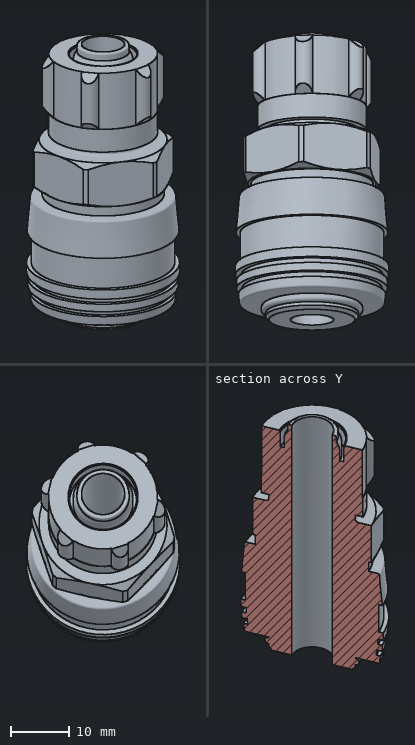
import cadquery as cq
import math

nose_bottom_z = 0.0
sleeve_bottom_z = 2.7
lower_ring_top_z = 4.5
middle_ring_bottom_z = 5.5
middle_ring_top_z = 6.9
upper_ring_bottom_z = 7.9
upper_ring_top_z = 9.6
collar_bottom_z = 15.4
collar_top_z = 22.2
hex_bottom_z = 24.1
hex_top_z = 32.2
nut_bottom_z = 33.55
rib_bottom_z = 37.75
nut_top_z = 48.1
barb_top_z = 48.45
tip_z = 49.8

upper_ring_diameter = 26.4
middle_ring_diameter = 26.0
lower_ring_diameter = 25.4
lower_ring_base_diameter = 25.0
lower_ring_round = 0.4
upper_groove_diameter = 24.4
lower_groove_top_diameter = 24.1
lower_groove_bottom_diameter = 23.8
sleeve_diameter = 24.7
collar_bottom_diameter = 26.2
collar_top_diameter = 25.0
collar_round = 0.5

nose_diameter = 16.0
nose_chamfer = 0.6
bead_radius = 0.75

lower_neck_diameter = 21.0
upper_neck_diameter = 16.0
neck_fillet = 0.6
hex_sides = 6
hex_across_flats = 22.0
hex_corner_diameter = 24.9
hex_chamfer_angle = 30.0

nut_diameter = 18.7
nut_skirt_diameter = 18.8
rib_count = 6
rib_radius = 1.5
first_rib_angle = 30.0
nut_bore_diameter = 11.6
nut_bore_chamfer = 0.2
nut_bore_depth = 3.5

bore_diameter = 7.4
tip_diameter = 9.0
tip_round = 0.3
barb_diameter = 10.3
barb_height = 1.7


def ring(diameter_bottom, z_bottom, diameter_top, z_top):
    """Solid disc or cone between two heights on the Z axis."""
    return (
        cq.Workplane("XZ")
        .moveTo(0, z_bottom)
        .lineTo(diameter_bottom / 2, z_bottom)
        .lineTo(diameter_top / 2, z_top)
        .lineTo(0, z_top)
        .close()
        .revolve(360, (0, 0, 0), (0, 1, 0))
    )


def cylinder(diameter, z_bottom, z_top):
    return ring(diameter, z_bottom, diameter, z_top)


def make_nose():
    """Seal nose with a round bead running around it."""
    nose = cylinder(nose_diameter, nose_bottom_z, sleeve_bottom_z).faces("<Z").chamfer(nose_chamfer)
    nose_radius = nose_diameter / 2
    bead = (
        cq.Workplane("XZ")
        .moveTo(0, sleeve_bottom_z - 2 * bead_radius)
        .lineTo(nose_radius, sleeve_bottom_z - 2 * bead_radius)
        .radiusArc((nose_radius, sleeve_bottom_z), -bead_radius)
        .lineTo(0, sleeve_bottom_z)
        .close()
        .revolve(360, (0, 0, 0), (0, 1, 0))
    )
    return nose.union(bead)


def make_sleeve():
    """Locking sleeve: three grip rings, a plain barrel and a tapered collar."""
    lower_ring = ring(lower_ring_base_diameter, sleeve_bottom_z, lower_ring_diameter, lower_ring_top_z)
    lower_groove = ring(
        lower_groove_bottom_diameter, lower_ring_top_z, lower_groove_top_diameter, middle_ring_bottom_z
    )
    collar = ring(collar_bottom_diameter, collar_bottom_z, collar_top_diameter, collar_top_z)
    return (
        lower_ring.faces("<Z").edges().fillet(lower_ring_round)
        .union(lower_groove)
        .union(cylinder(middle_ring_diameter, middle_ring_bottom_z, middle_ring_top_z))
        .union(cylinder(upper_groove_diameter, middle_ring_top_z, upper_ring_bottom_z))
        .union(cylinder(upper_ring_diameter, upper_ring_bottom_z, upper_ring_top_z))
        .union(cylinder(sleeve_diameter, upper_ring_top_z, collar_bottom_z))
        .union(collar.faces(">Z").edges().fillet(collar_round))
    )


def make_hex():
    """Hexagon with corners on +Y and -Y, turned round at the corners and chamfered at both ends."""
    chamfer_width = (hex_corner_diameter - hex_across_flats) / 2
    chamfer_height = chamfer_width * math.tan(math.radians(hex_chamfer_angle))
    half_side_angle = 180 / hex_sides
    corner_to_corner = hex_across_flats / math.cos(math.radians(half_side_angle))
    prism = (
        cq.Workplane("XY")
        .workplane(offset=hex_bottom_z)
        .transformed(rotate=(0, 0, half_side_angle))
        .polygon(hex_sides, corner_to_corner)
        .extrude(hex_top_z - hex_bottom_z)
    )
    lower_cone_top_z = hex_bottom_z + chamfer_height
    upper_cone_bottom_z = hex_top_z - chamfer_height
    turned_blank = (
        ring(hex_across_flats, hex_bottom_z, hex_corner_diameter, lower_cone_top_z)
        .union(cylinder(hex_corner_diameter, lower_cone_top_z, upper_cone_bottom_z))
        .union(ring(hex_corner_diameter, upper_cone_bottom_z, hex_across_flats, hex_top_z))
    )
    return prism.intersect(turned_blank)


def make_upper_neck():
    """Neck above the hexagon, with a concave fillet at its foot."""
    neck_radius = upper_neck_diameter / 2
    return (
        cq.Workplane("XZ")
        .moveTo(0, hex_top_z)
        .lineTo(neck_radius + neck_fillet, hex_top_z)
        .radiusArc((neck_radius, hex_top_z + neck_fillet), neck_fillet)
        .lineTo(neck_radius, nut_bottom_z)
        .lineTo(0, nut_bottom_z)
        .close()
        .revolve(360, (0, 0, 0), (0, 1, 0))
    )


def make_rib():
    """Half-round grip rib on the +X side of the nut, bevelled at 45 degrees at both ends."""
    nut_radius = nut_diameter / 2
    rib_tip = nut_radius + rib_radius
    bar = (
        cq.Workplane("XY")
        .workplane(offset=rib_bottom_z)
        .center(nut_radius, 0)
        .circle(rib_radius)
        .extrude(nut_top_z - rib_bottom_z)
    )
    side_outline = (
        cq.Workplane("XZ")
        .moveTo(nut_radius - rib_radius, rib_bottom_z)
        .lineTo(nut_radius, rib_bottom_z)
        .lineTo(rib_tip, rib_bottom_z + rib_radius)
        .lineTo(rib_tip, nut_top_z - rib_radius)
        .lineTo(nut_radius, nut_top_z)
        .lineTo(nut_radius - rib_radius, nut_top_z)
        .close()
        .extrude(rib_radius, both=True)
    )
    return bar.intersect(side_outline)


def make_nut():
    """Union nut: plain skirt, grip ribs above it and an open recess at its top."""
    skirt = cylinder(nut_skirt_diameter, nut_bottom_z, rib_bottom_z)
    nut = cylinder(nut_diameter, rib_bottom_z, nut_top_z).union(skirt)
    rib = make_rib()
    for index in range(rib_count):
        angle = first_rib_angle + index * 360 / rib_count
        nut = nut.union(rib.rotate((0, 0, 0), (0, 0, 1), angle))
    recess = cylinder(nut_bore_diameter, nut_top_z - nut_bore_depth, nut_top_z)
    recess_mouth = ring(
        nut_bore_diameter, nut_top_z - nut_bore_chamfer,
        nut_bore_diameter + 2 * nut_bore_chamfer, nut_top_z,
    )
    return nut.cut(recess).cut(recess_mouth)


def make_nozzle():
    """Hose nozzle: straight rounded tip swelling below into a convex barb."""
    tip_radius = tip_diameter / 2
    barb_radius = barb_diameter / 2
    swell = barb_radius - tip_radius
    swell_arc_radius = (barb_height ** 2 + swell ** 2) / (2 * swell)
    recess_floor_z = nut_top_z - nut_bore_depth
    return (
        cq.Workplane("XZ")
        .moveTo(0, recess_floor_z)
        .lineTo(barb_radius, recess_floor_z)
        .lineTo(barb_radius, barb_top_z - barb_height)
        .radiusArc((tip_radius, barb_top_z), -swell_arc_radius)
        .lineTo(tip_radius, tip_z - tip_round)
        .radiusArc((tip_radius - tip_round, tip_z), -tip_round)
        .lineTo(0, tip_z)
        .close()
        .revolve(360, (0, 0, 0), (0, 1, 0))
    )


body = (
    make_nose()
    .union(make_sleeve())
    .union(cylinder(lower_neck_diameter, collar_top_z, hex_bottom_z))
    .union(make_hex())
    .union(make_upper_neck())
    .union(make_nut())
    .union(make_nozzle())
)
result = body.cut(cylinder(bore_diameter, nose_bottom_z, tip_z))